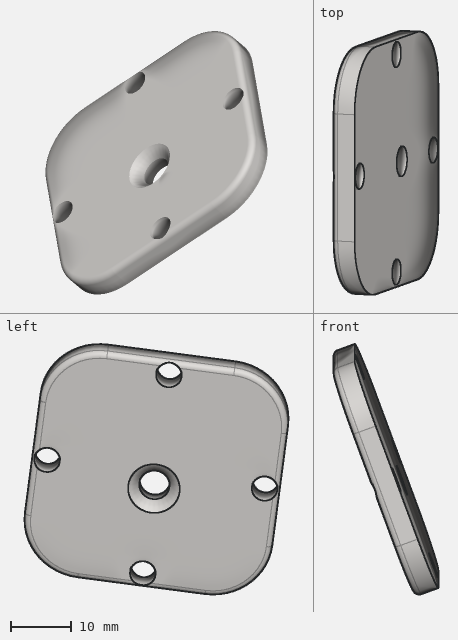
import cadquery as cq

width = 41.0
height = 39.9
thickness = 4.0
corner_radius = 9.98
front_edge_radius = 1.0

mount_hole_diameter = 4.2
mount_hole_side_offset = 18.0
mount_hole_vertical_offset = 17.5

screw_hole_diameter = 5.0
countersink_diameter = 8.5
countersink_angle = 90.0
screw_hole_drop = 2.5

lean_angle = 20.2
roll_angle = 7.5


def make_plate():
    """Rounded rectangle with its -X face rim filleted."""
    plate = cq.Workplane("XY").box(thickness, width, height)
    plate = plate.edges("|X").fillet(corner_radius)
    return plate.faces("<X").edges().fillet(front_edge_radius)


def drill_mount_holes(plate):
    centers = [
        (mount_hole_side_offset, 0),
        (-mount_hole_side_offset, 0),
        (0, mount_hole_vertical_offset),
        (0, -mount_hole_vertical_offset),
    ]
    drills = (
        cq.Workplane("YZ")
        .pushPoints(centers)
        .circle(mount_hole_diameter / 2)
        .extrude(thickness, both=True)
    )
    return plate.cut(drills)


def drill_screw_hole(plate):
    """Through hole countersunk from the -X face."""
    return (
        plate.faces("<X")
        .workplane(origin=(0, 0, -screw_hole_drop))
        .cskHole(screw_hole_diameter, countersink_diameter, countersink_angle)
    )


plate = drill_screw_hole(drill_mount_holes(make_plate()))
leaned = plate.rotate((0, 0, 0), (0, 1, 0), -lean_angle)
result = leaned.rotate((0, 0, 0), (1, 0, 0), roll_angle)